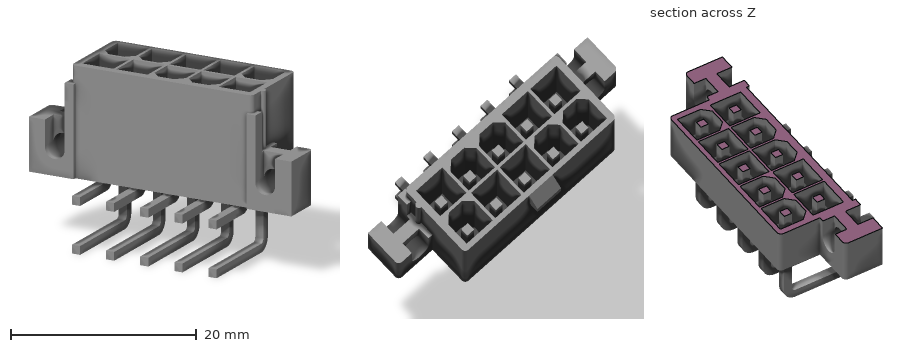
import cadquery as cq
import math


HOUSING_WIDTH = 22.22
HOUSING_FRONT_Y = 0.4
HOUSING_BACK_Y = 10.0
HOUSING_HEIGHT = 12.78
CORNER_RADIUS = 0.5

PITCH = 4.2
COLUMNS = 5
FRONT_ROW_Y = 3.3
BACK_ROW_Y = FRONT_ROW_Y + PITCH

POCKET_SIZE = 3.83
POCKET_CHAMFER = 0.93
POCKET_FLOOR_Z = 2.0
FRONT_ROW_KEYED = (2, 3)
BACK_ROW_KEYED = (0, 1, 4)

PIN_SIZE = 1.0
PIN_TOP_Z = 8.7
PIN_TIP_Y = -3.55
FRONT_PIN_BOTTOM_Z = -1.58
BACK_PIN_BOTTOM_Z = -7.12
FRONT_PIN_INNER_RADIUS = 0.3
BACK_PIN_INNER_RADIUS = 0.48

OVERALL_WIDTH = 32.2
EAR_INNER_X = HOUSING_WIDTH / 2 - CORNER_RADIUS
EAR_DEPTH = 4.85
EAR_HEIGHT = 6.2

HOLE_DIAMETER = 2.4
HOLE_X = 12.9
HOLE_Z = 3.12
WEB_FRONT_Y = 1.93
WEB_BACK_Y = 3.38

RIB_OUTER_X = HOLE_X - HOLE_DIAMETER / 2
RIB_DEPTH = 1.45
RIB_HEIGHT = 10.75

LATCH_WIDTH = 3.45
LATCH_BACK_Y = 11.37
LATCH_BOTTOM_Z = 9.8
LATCH_RAMP_Z = 10.95

BEAD_RADIUS = 0.4
BEAD_Y = 2.7


def block(x_range, y_range, z_range):
    """Box spanning the given (low, high) limits."""
    corner = cq.Vector(x_range[0], y_range[0], z_range[0])
    sizes = [high - low for low, high in (x_range, y_range, z_range)]
    return cq.Workplane(cq.Solid.makeBox(*sizes, corner))


def both_sides(solid):
    """Add the mirror image across the YZ plane."""
    return solid.union(solid.mirror("YZ"))


def make_housing():
    half = HOUSING_WIDTH / 2
    housing = block((-half, half), (HOUSING_FRONT_Y, HOUSING_BACK_Y), (0, HOUSING_HEIGHT))
    return housing.edges("|Z").fillet(CORNER_RADIUS)


def make_ear():
    """Ear on the +X side with its rib, slots and screw hole."""
    ear = block((EAR_INNER_X, OVERALL_WIDTH / 2), (0, EAR_DEPTH), (0, EAR_HEIGHT))
    ear = ear.edges("|Z and >X and >Y").fillet(CORNER_RADIUS)
    ear = ear.union(block((EAR_INNER_X, RIB_OUTER_X), (0, RIB_DEPTH), (0, RIB_HEIGHT)))

    hole = cq.Workplane("XZ").center(HOLE_X, HOLE_Z).circle(HOLE_DIAMETER / 2).extrude(-EAR_DEPTH)
    ear = ear.cut(hole)
    slot_x = (HOLE_X - HOLE_DIAMETER / 2, HOLE_X + HOLE_DIAMETER / 2)
    for slot_y in ((0, WEB_FRONT_Y), (WEB_BACK_Y, EAR_DEPTH)):
        ear = ear.cut(block(slot_x, slot_y, (HOLE_Z, EAR_HEIGHT)))
    return ear


def make_latch():
    profile = [
        (HOUSING_BACK_Y, LATCH_BOTTOM_Z),
        (LATCH_BACK_Y, LATCH_BOTTOM_Z),
        (LATCH_BACK_Y, LATCH_RAMP_Z),
        (HOUSING_BACK_Y, HOUSING_HEIGHT),
    ]
    return cq.Workplane("YZ").polyline(profile).close().extrude(LATCH_WIDTH / 2, both=True)


def make_bead():
    """Half-round bead standing on the +X wall over its full height."""
    wall_x = HOUSING_WIDTH / 2
    bead = (
        cq.Workplane("XY")
        .moveTo(wall_x, BEAD_Y - BEAD_RADIUS)
        .threePointArc((wall_x + BEAD_RADIUS, BEAD_Y), (wall_x, BEAD_Y + BEAD_RADIUS))
        .close()
    )
    return bead.extrude(HOUSING_HEIGHT)


def make_pocket(x, y, keyed):
    """Cutter for one pocket; keyed pockets have their two -Y corners chamfered."""
    half = POCKET_SIZE / 2
    pocket = block((x - half, x + half), (y - half, y + half), (POCKET_FLOOR_Z, HOUSING_HEIGHT))
    if keyed:
        pocket = pocket.faces("<Y").edges("|Z").chamfer(POCKET_CHAMFER)
    return pocket


def make_pin(x, y, bottom_z, inner_radius):
    """Square pin running down from its pocket and bent toward -Y."""
    outer_radius = inner_radius + PIN_SIZE
    back_y = y + PIN_SIZE / 2
    front_y = y - PIN_SIZE / 2
    bar_top_z = bottom_z + PIN_SIZE
    bend_y = front_y - inner_radius
    bend_z = bar_top_z + inner_radius
    diagonal = math.sqrt(0.5)
    profile = (
        cq.Workplane("YZ", origin=(x, 0, 0))
        .moveTo(front_y, PIN_TOP_Z)
        .lineTo(back_y, PIN_TOP_Z)
        .lineTo(back_y, bend_z)
        .threePointArc(
            (bend_y + outer_radius * diagonal, bend_z - outer_radius * diagonal),
            (bend_y, bottom_z),
        )
        .lineTo(PIN_TIP_Y, bottom_z)
        .lineTo(PIN_TIP_Y, bar_top_z)
        .lineTo(bend_y, bar_top_z)
        .threePointArc(
            (bend_y + inner_radius * diagonal, bend_z - inner_radius * diagonal),
            (front_y, bend_z),
        )
        .close()
    )
    return profile.extrude(PIN_SIZE / 2, both=True)


result = make_housing().union(both_sides(make_ear())).union(make_latch()).union(make_bead())

rows = (
    (FRONT_ROW_Y, FRONT_ROW_KEYED, FRONT_PIN_BOTTOM_Z, FRONT_PIN_INNER_RADIUS),
    (BACK_ROW_Y, BACK_ROW_KEYED, BACK_PIN_BOTTOM_Z, BACK_PIN_INNER_RADIUS),
)
for row_y, keyed_columns, pin_bottom_z, inner_radius in rows:
    for column in range(COLUMNS):
        column_x = (column - (COLUMNS - 1) / 2) * PITCH
        result = result.cut(make_pocket(column_x, row_y, column in keyed_columns))
        result = result.union(make_pin(column_x, row_y, pin_bottom_z, inner_radius))